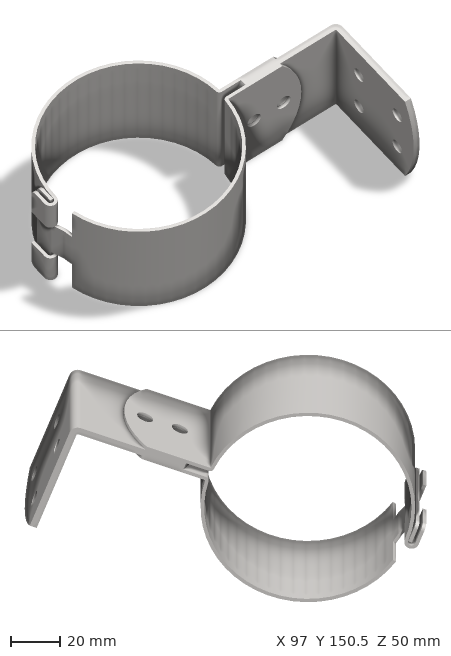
import cadquery as cq
import math

width = 50.0
band_thickness = 1.5
ring_radius = 43.5
band_bend_radius = 0.2

bracket_thickness = 3.0
bracket_leg = 55.0
bracket_bend_radius = 0.5
bracket_end_radius = 56.8
bracket_top = 102.5

flange_end = 80.7
flange_end_radius = 36.9
bolt_hole_ys = (71.7, 56.6)
flange_hole_diameter = 7.0
bracket_hole_diameter = 6.3
mount_hole_xs = (16.9, 42.5)
mount_hole_z = 10.5

hook_gap = 3.0
tab_length = 8.7
tab_corner_radius = 2.7
window_height = 20.6
tongue_height = 18.4
shoulder_angle = 14.2
tongue_bend_angle = 8.3
tongue_flat_x = 0.8
crossbar_clearance = 0.2
crossbar_right_x = 0.2

ring_bore_radius = ring_radius - band_thickness
web_half = bracket_thickness / 2
flange_outer_x = web_half + band_thickness
hook_inner_radius = hook_gap / 2
hook_outer_radius = hook_inner_radius + band_thickness
hook_center_y = -ring_radius - hook_inner_radius
hook_bottom = hook_center_y - hook_outer_radius
crossbar_top = -ring_radius - crossbar_clearance
crossbar_bottom = crossbar_top - band_thickness


def on_circle(radius, angle, center=(0, 0)):
    """Point on a circle; the angle is in degrees from +X."""
    turn = math.radians(angle)
    return (center[0] + radius * math.cos(turn), center[1] + radius * math.sin(turn))


def sheet(outline, height):
    """Extrude a closed XY outline, centred on Z = 0."""
    return outline.close().extrude(height / 2, both=True)


def block(x_min, x_max, y_min, y_max, height):
    """Box with the given X and Y limits, centred on Z = 0."""
    return cq.Workplane("XY").box(x_max - x_min, y_max - y_min, height).translate(
        ((x_min + x_max) / 2, (y_min + y_max) / 2, 0)
    )


def round_end(plane, start, crown, radius, depth):
    """Full-width slab from start to a crowned, circular end, along the plane's first axis."""
    half = width / 2
    sagitta = radius - math.sqrt(radius**2 - half**2)
    shoulder = crown - math.copysign(sagitta, crown - start)
    return (
        cq.Workplane(plane)
        .moveTo(start, -half)
        .lineTo(shoulder, -half)
        .threePointArc((crown, 0), (shoulder, half))
        .lineTo(start, half)
        .close()
        .extrude(depth, both=True)
    )


def bolt_holes(diameter):
    """Cylinders along X for the two clamping bolts."""
    reach = 2 * flange_outer_x
    return (
        cq.Workplane("YZ")
        .pushPoints([(y, 0) for y in bolt_hole_ys])
        .circle(diameter / 2)
        .extrude(reach, both=True)
    )


def half_band(end_angle):
    """Flange and ring arc on the +X side; the arc stops end_angle degrees from -Y."""
    bend_x = flange_outer_x + band_bend_radius
    bend_y = math.sqrt((ring_radius + band_bend_radius) ** 2 - bend_x**2)
    bend_center = (bend_x, bend_y)
    start = math.degrees(math.atan2(bend_y, bend_x))
    stop = end_angle - 90
    middle = (start + stop) / 2
    bend_stop = 180 + start
    bend_middle = (180 + bend_stop) / 2
    bend_outer_radius = band_bend_radius + band_thickness

    outline = (
        cq.Workplane("XY")
        .moveTo(web_half, flange_end)
        .lineTo(flange_outer_x, flange_end)
        .lineTo(flange_outer_x, bend_y)
        .threePointArc(on_circle(band_bend_radius, bend_middle, bend_center), on_circle(ring_radius, start))
        .threePointArc(on_circle(ring_radius, middle), on_circle(ring_radius, stop))
        .lineTo(*on_circle(ring_bore_radius, stop))
        .threePointArc(on_circle(ring_bore_radius, middle), on_circle(ring_bore_radius, start))
        .threePointArc(on_circle(bend_outer_radius, bend_middle, bend_center), (web_half, bend_y))
    )
    flange_limit = round_end("YZ", hook_bottom, flange_end, flange_end_radius, 2 * ring_radius)
    return sheet(outline, width).intersect(flange_limit).cut(bolt_holes(flange_hole_diameter))


def make_bracket():
    right = bracket_leg - web_half
    bottom = bracket_top - bracket_leg
    inner_y = bracket_top - bracket_thickness
    outer_radius = bracket_bend_radius + bracket_thickness
    bend_center = (web_half + bracket_bend_radius, inner_y - bracket_bend_radius)

    outline = (
        cq.Workplane("XY")
        .moveTo(-web_half, bottom)
        .lineTo(-web_half, bend_center[1])
        .threePointArc(on_circle(outer_radius, 135, bend_center), (bend_center[0], bracket_top))
        .lineTo(right, bracket_top)
        .lineTo(right, inner_y)
        .lineTo(bend_center[0], inner_y)
        .threePointArc(on_circle(bracket_bend_radius, 135, bend_center), (web_half, bend_center[1]))
        .lineTo(web_half, bottom)
    )
    mount_holes = (
        cq.Workplane("XZ", origin=(0, bracket_top, 0))
        .pushPoints([(x, z) for x in mount_hole_xs for z in (-mount_hole_z, mount_hole_z)])
        .circle(bracket_hole_diameter / 2)
        .extrude(bracket_thickness)
    )
    web_limit = round_end("YZ", bracket_top, bottom, bracket_end_radius, bracket_leg)
    plate_limit = round_end("XZ", -web_half, right, bracket_end_radius, bracket_top)
    return (
        sheet(outline, width)
        .intersect(web_limit)
        .intersect(plate_limit)
        .cut(bolt_holes(bracket_hole_diameter))
        .cut(mount_holes)
    )


def make_hook_band():
    hook_center = (0, hook_center_y)
    outline = (
        cq.Workplane("XY")
        .moveTo(0, -ring_bore_radius)
        .threePointArc(on_circle(hook_outer_radius, 0, hook_center), (0, hook_bottom))
        .lineTo(-tab_length, hook_bottom)
        .lineTo(-tab_length, hook_bottom + band_thickness)
        .lineTo(0, hook_bottom + band_thickness)
        .threePointArc(on_circle(hook_inner_radius, 0, hook_center), (0, -ring_radius))
    )
    hook = sheet(outline, width).edges("|Y and <X").fillet(tab_corner_radius)
    bend_window = block(0, hook_outer_radius, hook_bottom, -ring_bore_radius, window_height)
    tab_window = block(-tab_length, 0, hook_bottom, hook_center_y, window_height)
    hook = hook.cut(bend_window).cut(tab_window)
    return half_band(0).mirror("YZ").union(hook)


def make_tongue_band():
    shoulder = shoulder_angle - 90
    leave = tongue_bend_angle - 90
    middle = (shoulder + leave) / 2
    outline = (
        cq.Workplane("XY")
        .moveTo(*on_circle(ring_bore_radius, shoulder))
        .threePointArc(on_circle(ring_bore_radius, middle), on_circle(ring_bore_radius, leave))
        .lineTo(tongue_flat_x, crossbar_top)
        .lineTo(crossbar_right_x, crossbar_top)
        .lineTo(crossbar_right_x, crossbar_bottom)
        .lineTo(tongue_flat_x, crossbar_bottom)
        .lineTo(*on_circle(ring_radius, leave))
        .threePointArc(on_circle(ring_radius, middle), on_circle(ring_radius, shoulder))
    )
    tongue = sheet(outline, tongue_height)
    for crease_y, radius in (
        (crossbar_top, band_bend_radius),
        (crossbar_bottom, band_bend_radius + band_thickness),
    ):
        crease = cq.selectors.NearestToPointSelector((tongue_flat_x, crease_y, 0))
        tongue = tongue.edges(crease).fillet(radius)
    crossbar = block(-tab_length, crossbar_right_x, crossbar_bottom, crossbar_top, width)
    crossbar = crossbar.edges("|Y and <X").fillet(tab_corner_radius)
    return half_band(shoulder_angle).union(tongue).union(crossbar)


bracket = make_bracket()
hook_band = make_hook_band()
tongue_band = make_tongue_band()

result = cq.Compound.makeCompound(
    [bracket.solids().val(), hook_band.solids().val(), tongue_band.solids().val()]
)